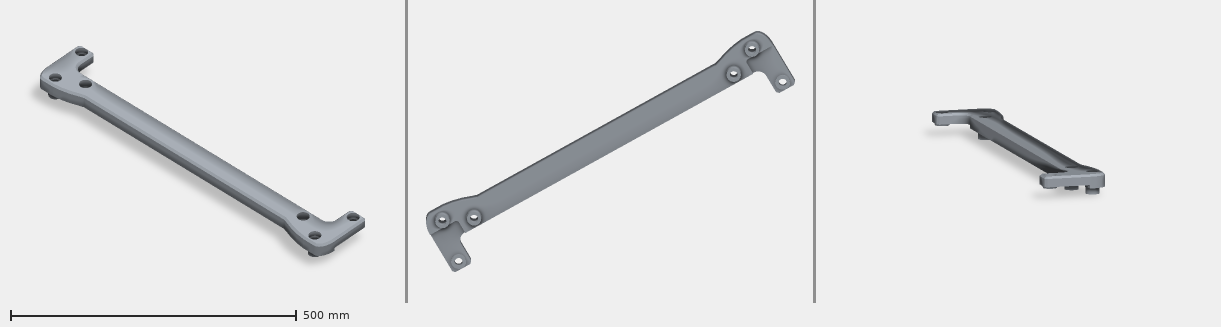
import cadquery as cq

LENGTH = 693.0
DEPTH = 115.0
HEIGHT = 39.5
HALF = LENGTH / 2

PLATE = 25.0
PLATE_BOTTOM = HEIGHT - PLATE
EDGE_CHAMFER = 3.8

BAR_FRONT = 15.0
BAR_BACK = 60.0
ARM_WIDTH = 38.0
ARM_TIP_CHAMFER = 4.0
INNER_RADIUS = 16.5

CORNER_LENGTH_X = 18.0
CORNER_LENGTH_Y = 32.5
FLAT_END = 44.5
BULGE_END = 96.0
BULGE_END_Y = 12.5
BAR_START = 105.0
BULGE_SAG = 2.0

ARM_THICKNESS = 19.0
RECESS_FRONT = CORNER_LENGTH_Y
RECESS_WIDTH = 55.5
RECESS_RADIUS = 5.5

HOLE_DIAMETER = 14.0
COUNTERBORE_DIAMETER = 23.0
COUNTERBORE_DEPTH = 10.5
BAR_COUNTERBORE_DEPTH = 15.0
BOSS_DIAMETER = 25.0
COLLAR_DIAMETER = 26.0
COLLAR_HEIGHT = 3.0
TIP_BOSS_HEIGHT = 4.0

TIP_HOLE = (19.0, 100.5)
CORNER_HOLE = (33.0, 18.0)
BAR_HOLE = (84.0, 41.5)


def half_outline():
    """Left half of the plate, closed along the middle plane x = 0."""
    bulge_mid_x = (FLAT_END + BULGE_END) / 2 - HALF
    bulge_mid_y = BULGE_END_Y / 2 - BULGE_SAG
    return (
        cq.Workplane("XY", origin=(0, 0, PLATE_BOTTOM))
        .moveTo(0, BAR_FRONT)
        .lineTo(BAR_START - HALF, BAR_FRONT)
        .lineTo(BULGE_END - HALF, BULGE_END_Y)
        .threePointArc((bulge_mid_x, bulge_mid_y), (FLAT_END - HALF, 0))
        .lineTo(CORNER_LENGTH_X - HALF, 0)
        .ellipseArc(
            CORNER_LENGTH_X, CORNER_LENGTH_Y, 180, 270, startAtCurrent=True, sense=-1
        )
        .lineTo(-HALF, DEPTH - ARM_TIP_CHAMFER)
        .lineTo(ARM_TIP_CHAMFER - HALF, DEPTH)
        .lineTo(ARM_WIDTH - ARM_TIP_CHAMFER - HALF, DEPTH)
        .lineTo(ARM_WIDTH - HALF, DEPTH - ARM_TIP_CHAMFER)
        .lineTo(ARM_WIDTH - HALF, BAR_BACK + INNER_RADIUS)
        .radiusArc((ARM_WIDTH + INNER_RADIUS - HALF, BAR_BACK), -INNER_RADIUS)
        .lineTo(0, BAR_BACK)
        .close()
    )


def both_ends(left):
    """A left-end solid together with its mirror image at the right end."""
    return left.union(left.mirror("YZ"))


def cylinder(place, diameter, bottom, top):
    """Upright cylinder at a place given as (offset from the outer side, y)."""
    offset, y = place
    return (
        cq.Workplane("XY", origin=(offset - HALF, y, bottom))
        .circle(diameter / 2)
        .extrude(top - bottom)
    )


def arm_recess():
    """Pocket under the left arm, rounded in its inner front corner."""
    return (
        cq.Workplane("XY", origin=(-HALF, RECESS_FRONT, PLATE_BOTTOM))
        .rect(RECESS_WIDTH, DEPTH - RECESS_FRONT, centered=False)
        .extrude(PLATE - ARM_THICKNESS)
        .edges("|Z and >X and <Y")
        .fillet(RECESS_RADIUS)
    )


def bolt_boss(place, bottom, top):
    """Boss hanging from the plate, with a slightly wider collar at its root."""
    boss = cylinder(place, BOSS_DIAMETER, bottom, top)
    collar = cylinder(place, COLLAR_DIAMETER, top - COLLAR_HEIGHT, top)
    return boss.union(collar)


def bolt_hole(place, bottom, counterbore_depth):
    """Through hole with a counterbore sunk from the top face."""
    hole = cylinder(place, HOLE_DIAMETER, bottom, HEIGHT)
    seat = HEIGHT - counterbore_depth
    return hole.union(cylinder(place, COUNTERBORE_DIAMETER, seat, HEIGHT))


plate = both_ends(half_outline().extrude(PLATE)).clean()
plate = plate.faces(">Z").chamfer(EDGE_CHAMFER)
plate = plate.cut(both_ends(arm_recess()))

arm_bottom = HEIGHT - ARM_THICKNESS
bolts = [
    (TIP_HOLE, arm_bottom - TIP_BOSS_HEIGHT, arm_bottom, COUNTERBORE_DEPTH),
    (CORNER_HOLE, 0, PLATE_BOTTOM, COUNTERBORE_DEPTH),
    (BAR_HOLE, 0, PLATE_BOTTOM, BAR_COUNTERBORE_DEPTH),
]
for place, bottom, top, counterbore_depth in bolts:
    plate = plate.union(both_ends(bolt_boss(place, bottom, top)))
    plate = plate.cut(both_ends(bolt_hole(place, bottom, counterbore_depth)))

result = plate